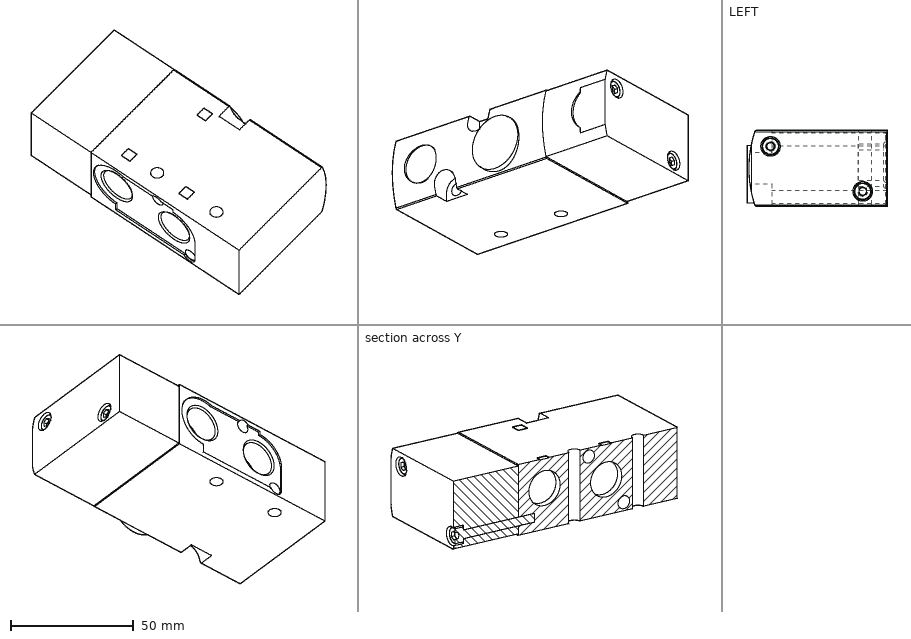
import cadquery as cq
import math


total_length = 109.2
total_depth = 57.0
housing_height = 31.0
cap_length = 31.6
housing_length = total_length - cap_length
mid_z = housing_height / 2
cut_margin = 1.0

crown_apex_y = 56.3
crown_radius = 48.0
back_edge_chamfer_y = 0.5
back_edge_chamfer_z = 0.3

cap_side_inset = 0.65
cap_front_inset = 0.4
cap_half_height = mid_z - cap_side_inset
relief_floor_y = 55.2
relief_end_radius = 10.2
relief_end_x = -15.0

back_spot_diameter = 16.5
back_spot_x = 63.1

port_diameter = 14.95
port_chamfer_diameter = 16.5
port_depth = 12.0
left_port = (12.9, 18.0)
right_port = (42.9, 15.5)

recess_depth = 0.8
recess_radius = 11.6
recess_top_z = 28.8
recess_bottom_z = 2.4
recess_corner_fillet = 0.5

boss_diameter = 23.5
boss_x = 23.9
boss_z = 13.05
boss_root_y = 50.0

bolt_hole_diameter = 5.4
bolt_inset_z = 3.8
bolt_clearance_diameter = 6.0
upper_bolt_x = 34.4
lower_bolt_x = right_port[0] + recess_radius - bolt_clearance_diameter / 2
notch_width = 10.7
notch_floor_y = 46.9

cross_hole_diameter = 5.3
cross_hole_y = 9.05
cross_hole_xs = (27.4, 58.4)

label_size = 4.5
label_depth = 0.2
label_centers = [(12.8, 8.9), (42.9, 8.9), (23.9, 44.0)]

screw_centers = [(47.5, 24.4), (10.0, 6.1)]
counterbore_diameter = 8.0
counterbore_depth = 5.0
head_diameter = 7.0
head_chamfer = 0.3
head_recess = 0.9
head_height = counterbore_depth - head_recess
shank_diameter = 4.0
thread_engagement = 8.0
socket_flats = 3.24
socket_tip_diameter = 3.0
socket_depth = 1.5
socket_tip_depth = 0.75


def crown_y(offset):
    """Y of the crown at a distance above or below mid height."""
    return crown_apex_y - crown_radius + math.sqrt(crown_radius**2 - offset**2)


def cylinder_x(x_start, length, diameter, y, z):
    """Cylinder along +X from x_start."""
    return cq.Workplane("YZ", origin=(x_start, y, z)).circle(diameter / 2).extrude(length)


def cylinder_y(y_start, length, diameter, x, z):
    """Cylinder along +Y from y_start; the XZ workplane faces -Y, so it extrudes backward."""
    return cq.Workplane("XZ", origin=(x, y_start, z)).circle(diameter / 2).extrude(-length)


def crowned_block(x_start, length, front_y, half_height):
    """Block with a flat front and a crowned back."""
    top_z = mid_z + half_height
    bottom_z = mid_z - half_height
    crown_edge_y = crown_y(half_height)
    return (
        cq.Workplane("YZ", origin=(x_start, 0, 0))
        .moveTo(front_y, bottom_z)
        .lineTo(crown_edge_y, bottom_z)
        .threePointArc((crown_apex_y, mid_z), (crown_edge_y, top_z))
        .lineTo(front_y, top_z)
        .close()
        .extrude(length)
    )


def gasket_recess():
    """Recess round both ports, stepped at two places and bulging round the lower bolt hole."""
    left_x, left_z = left_port
    right_x, right_z = right_port
    right_edge_x = right_x + recess_radius
    arc_top_x = left_x + math.sqrt(recess_radius**2 - (recess_top_z - left_z) ** 2)
    bulge_radius = bolt_clearance_diameter / 2
    bulge_diagonal = bulge_radius * math.sqrt(0.5)
    bulge_start_x = lower_bolt_x - math.sqrt(bulge_radius**2 - (bolt_inset_z - recess_bottom_z) ** 2)
    diagonal = recess_radius * math.sqrt(0.5)
    outline = (
        cq.Workplane("XZ")
        .moveTo(left_x, recess_bottom_z)
        .lineTo(bulge_start_x, recess_bottom_z)
        .threePointArc(
            (lower_bolt_x + bulge_diagonal, bolt_inset_z - bulge_diagonal),
            (right_edge_x, bolt_inset_z),
        )
        .lineTo(right_edge_x, right_z)
        .threePointArc((right_x + diagonal, right_z + diagonal), (right_x, right_z + recess_radius))
        .lineTo(right_x, recess_top_z)
        .lineTo(arc_top_x, recess_top_z)
        .threePointArc((left_x - recess_radius, left_z), (left_x, left_z - recess_radius))
        .close()
    )
    recess = outline.extrude(-recess_depth)
    step_corners = cq.selectors.BoxSelector(
        (right_x - cut_margin, -cut_margin, recess_top_z - cut_margin),
        (right_x + cut_margin, total_depth, recess_top_z + cut_margin),
    )
    return recess.edges("|Y").edges(step_corners).fillet(recess_corner_fillet)


def port(center):
    """Blind port bore with a 45 degree chamfer at the recess floor."""
    x, z = center
    bore = cylinder_y(0, port_depth, port_diameter, x, z)
    chamfer = cq.Solid.makeCone(
        port_chamfer_diameter / 2,
        port_diameter / 2,
        (port_chamfer_diameter - port_diameter) / 2,
        cq.Vector(x, recess_depth, z),
        cq.Vector(0, 1, 0),
    )
    return bore.union(cq.Workplane(chamfer))


def bolt_hole(x, outward):
    """Hole through in Y and a round-bottomed notch open to the top (outward 1) or bottom (-1)."""
    face_z = mid_z + outward * mid_z
    z = face_z - outward * bolt_inset_z
    length = total_depth - notch_floor_y + cut_margin
    slot_height = bolt_inset_z + cut_margin
    hole = cylinder_y(-cut_margin, total_depth + 2 * cut_margin, bolt_hole_diameter, x, z)
    round_bottom = cylinder_y(notch_floor_y, length, notch_width, x, z)
    slot = cq.Workplane("XY").box(notch_width, length, slot_height, centered=(True, False, True))
    slot = slot.translate((x, notch_floor_y, z + outward * slot_height / 2))
    return hole.union(round_bottom).union(slot)


def make_housing():
    body = crowned_block(0, housing_length, 0, mid_z)
    crown_edge_y = crown_y(mid_z)
    back_edges = cq.selectors.BoxSelector(
        (0, crown_edge_y - cut_margin, -cut_margin),
        (housing_length, crown_edge_y + cut_margin, housing_height + cut_margin),
    )
    body = body.edges("|X").edges(back_edges).chamfer(back_edge_chamfer_z, back_edge_chamfer_y)

    boss = cylinder_y(boss_root_y, total_depth - boss_root_y, boss_diameter, boss_x, boss_z)
    body = body.union(boss)
    body = body.cut(cylinder_y(relief_floor_y, total_depth, back_spot_diameter, back_spot_x, mid_z))

    body = body.cut(gasket_recess())
    for center in (left_port, right_port):
        body = body.cut(port(center))

    body = body.cut(bolt_hole(upper_bolt_x, 1))
    body = body.cut(bolt_hole(lower_bolt_x, -1))
    for x in cross_hole_xs:
        cross_hole = cq.Workplane("XY", origin=(x, cross_hole_y, 0)).circle(cross_hole_diameter / 2)
        body = body.cut(cross_hole.extrude(housing_height))

    panels = cq.Workplane("XY", origin=(0, 0, housing_height)).pushPoints(label_centers)
    body = body.cut(panels.rect(label_size, label_size).extrude(-label_depth))

    for y, z in screw_centers:
        body = body.cut(cylinder_x(0, thread_engagement, shank_diameter, y, z))
    return body


def make_cap():
    body = crowned_block(-cap_length, cap_length, cap_front_inset, cap_half_height)

    round_x = relief_end_x - relief_end_radius
    relief_width = 2 * relief_end_radius
    relief = cylinder_y(relief_floor_y, total_depth, relief_width, round_x, mid_z)
    open_end = cq.Workplane("XZ", origin=(round_x, relief_floor_y, mid_z)).rect(
        2 * (round_x + cap_length), relief_width
    )
    body = body.cut(relief).cut(open_end.extrude(-total_depth))

    for y, z in screw_centers:
        body = body.cut(cylinder_x(-cap_length, counterbore_depth, counterbore_diameter, y, z))
        body = body.cut(cylinder_x(-cap_length, cap_length, shank_diameter, y, z))
    return body


def make_screw(center):
    """Socket-head screw seated in the counterbore, its head below the cap end face."""
    y, z = center
    head_x = head_recess - cap_length
    seat_x = head_x + head_height
    head = cylinder_x(head_x, head_height, head_diameter, y, z)
    head = head.faces("<X").chamfer(head_chamfer)
    shank = cylinder_x(seat_x, thread_engagement - seat_x, shank_diameter, y, z)

    socket = cq.Workplane("YZ", origin=(head_x, y, z)).transformed(rotate=(0, 0, 90))
    socket = socket.polygon(6, socket_flats / math.cos(math.pi / 6)).extrude(socket_depth)
    tip = cq.Solid.makeCone(
        socket_tip_diameter / 2,
        0,
        socket_tip_depth,
        cq.Vector(head_x + socket_depth, y, z),
        cq.Vector(1, 0, 0),
    )
    return head.union(shank).cut(socket).cut(cq.Workplane(tip))


housing = make_housing()
cap = make_cap()
screws = [make_screw(center) for center in screw_centers]

result = cq.Compound.makeCompound([housing.val(), cap.val(), *[screw.val() for screw in screws]])